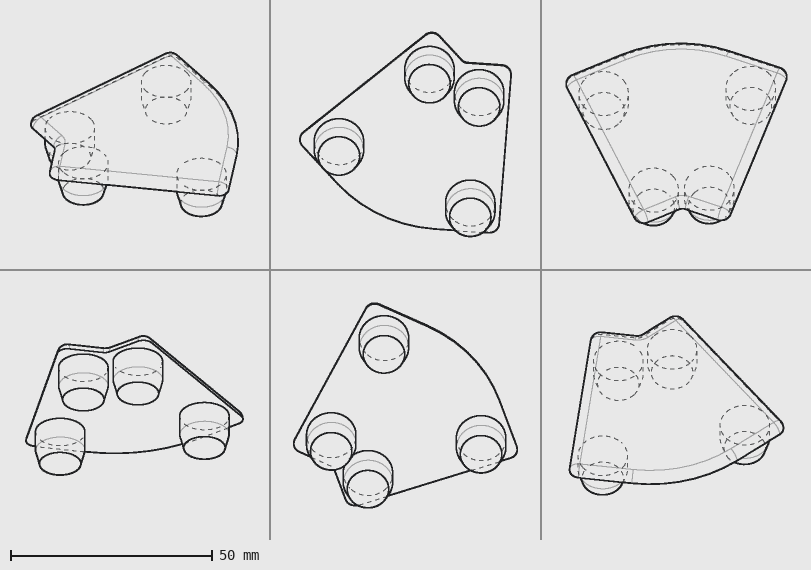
import cadquery as cq
import math

bend_angle = 45.0
plate_thickness = 2.5
rim_radius = plate_thickness
end_width = 45.0
outer_straight = 15.9
outer_radius = 35.3
inner_radius = 1.85
plate_top = 52.35

peg_diameter = 12.3
peg_tip_diameter = 10.3
peg_straight_length = 5.5
peg_taper_length = 4.0
peg_end_inset = 7.6
peg_side_inset = 7.65

bend_center = (outer_straight, plate_top - outer_radius)
half_tangent = math.tan(math.radians(bend_angle / 2))
outer_tangent = outer_radius * half_tangent
inner_tangent = inner_radius * half_tangent
inner_corner_x = outer_straight + outer_tangent - end_width * half_tangent
inner_straight = inner_corner_x - inner_tangent
inner_edge_y = plate_top - end_width


def mirror_end(point):
    """Reflect a point across the middle of the bend to the slanted end."""
    axis = math.radians(90 - bend_angle / 2)
    dx = point[0] - bend_center[0]
    dy = point[1] - bend_center[1]
    cos2 = math.cos(2 * axis)
    sin2 = math.sin(2 * axis)
    return (bend_center[0] + dx * cos2 + dy * sin2, bend_center[1] + dx * sin2 - dy * cos2)


def point_on_bend(center, radius):
    """Middle point of a bend arc."""
    axis = math.radians(90 - bend_angle / 2)
    return (center[0] + radius * math.cos(axis), center[1] + radius * math.sin(axis))


def make_plate():
    outer_end = (0, plate_top)
    outer_start = (outer_straight, plate_top)
    inner_end = (0, inner_edge_y)
    inner_start = (inner_straight, inner_edge_y)
    inner_center = (inner_straight, inner_edge_y - inner_radius)
    blank = (
        cq.Workplane("XY", origin=(0, 0, -plate_thickness))
        .moveTo(*outer_end)
        .lineTo(*outer_start)
        .threePointArc(point_on_bend(bend_center, outer_radius), mirror_end(outer_start))
        .lineTo(*mirror_end(outer_end))
        .lineTo(*mirror_end(inner_end))
        .lineTo(*mirror_end(inner_start))
        .threePointArc(point_on_bend(inner_center, inner_radius), inner_start)
        .lineTo(*inner_end)
        .close()
        .extrude(2 * plate_thickness)
    )
    corners = [outer_end, inner_end, mirror_end(outer_end), mirror_end(inner_end)]
    corner_edges = cq.Workplane("XY")
    for corner in corners:
        nearest = cq.selectors.NearestToPointSelector((corner[0], corner[1], 0))
        corner_edges = corner_edges.add(blank.edges("|Z").edges(nearest))
    rim_edges = blank.faces(">Z").edges().vals() + corner_edges.vals()
    rounded = blank.newObject(rim_edges).fillet(rim_radius)
    return rounded.copyWorkplane(cq.Workplane("XY")).split(keepTop=True)


def make_peg(center):
    shank = cq.Workplane("XY").center(*center).circle(peg_diameter / 2).extrude(-peg_straight_length)
    taper = (
        shank.faces("<Z").workplane(origin=(center[0], center[1], 0))
        .circle(peg_diameter / 2)
        .workplane(offset=peg_taper_length)
        .circle(peg_tip_diameter / 2)
        .loft(combine=False)
    )
    return shank.union(taper)


result = make_plate()
for peg_y in (plate_top - peg_side_inset, inner_edge_y + peg_side_inset):
    peg_center = (peg_end_inset, peg_y)
    result = result.union(make_peg(peg_center))
    result = result.union(make_peg(mirror_end(peg_center)))